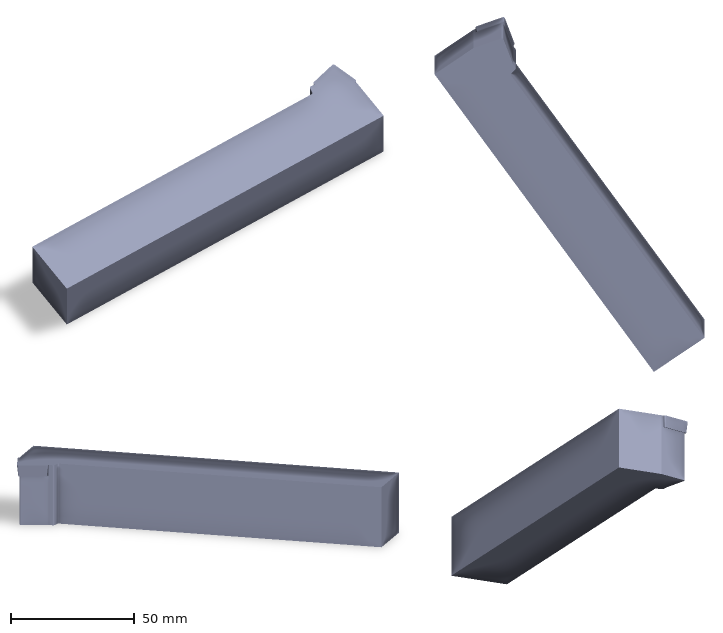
import cadquery as cq
import math


total_length = 154.4
total_width = 32.5
shank_size = 25.0

insert_side = 12.7
insert_thickness = 4.8
insert_corner_radius = 0.8
insert_tilt = 15.0
relief_angle = 7.0
screw_diameter = 7.0

end_gap = 0.5
seat_clearance = 1.0
nose_radius = 0.8
neck_overhang = 3.4
neck_bottom_y = 137.0
neck_foot_y = 136.2
neck_radius = 0.6

tilt = math.radians(insert_tilt)
seat_z = shank_size - insert_thickness
holder_end_y = total_length - end_gap
insert_reach = (
    (insert_side / 2 - insert_corner_radius) * (math.cos(tilt) + math.sin(tilt)) + insert_corner_radius
)
insert_x = shank_size - total_width + insert_reach
insert_y = total_length - insert_reach


def tilted_point(along, across):
    """XY point given in the tilted frame centred on the insert."""
    return (
        insert_x + along * math.cos(tilt) - across * math.sin(tilt),
        insert_y + along * math.sin(tilt) + across * math.cos(tilt),
    )


def insert_workplane(z):
    """Horizontal workplane at height z, centred on the insert and turned with it."""
    origin = cq.Vector(insert_x, insert_y, z)
    direction = cq.Vector(math.cos(tilt), math.sin(tilt), 0)
    return cq.Workplane(cq.Plane(origin=origin, xDir=direction, normal=(0, 0, 1)))


def square_prism(z):
    """Straight rounded square from height z up to the top face."""
    prism = insert_workplane(z).rect(insert_side, insert_side).extrude(shank_size - z)
    return prism.edges("|Z").fillet(insert_corner_radius)


def screw_cylinder():
    return insert_workplane(seat_z).circle(screw_diameter / 2).extrude(insert_thickness)


def make_holder():
    """Shank and head, with a pocket for the insert and a screw flush with its top."""
    flank = seat_clearance - insert_side / 2
    nose = tilted_point(flank, -flank)
    front_corner_x = nose[0] + (holder_end_y - nose[1]) / math.tan(tilt)
    neck_top_y = nose[1] - (-neck_overhang - nose[0]) / math.tan(tilt)
    body = (
        cq.Workplane("XY")
        .polyline([
            (0, 0),
            (shank_size, 0),
            (shank_size, holder_end_y),
            (front_corner_x, holder_end_y),
            nose,
            (-neck_overhang, neck_top_y),
            (-neck_overhang, neck_bottom_y),
            (0, neck_foot_y),
        ])
        .close()
        .extrude(shank_size)
    )
    body = body.edges(cq.NearestToPointSelector((*nose, shank_size / 2))).fillet(nose_radius)
    for corner in [(-neck_overhang, neck_bottom_y), (0, neck_foot_y)]:
        body = body.edges(cq.NearestToPointSelector((*corner, shank_size / 2))).fillet(neck_radius)
    return body.cut(square_prism(seat_z)).union(screw_cylinder())


def make_insert():
    """Rounded square plate with relieved sides and a through hole for the screw."""
    plate = (
        insert_workplane(shank_size)
        .sketch()
        .rect(insert_side, insert_side)
        .vertices()
        .fillet(insert_corner_radius)
        .finalize()
        .extrude(-insert_thickness, taper=relief_angle)
    )
    return plate.cut(screw_cylinder())


holder = make_holder()
insert = make_insert()

result = cq.Compound.makeCompound([holder.solids().val(), insert.solids().val()])